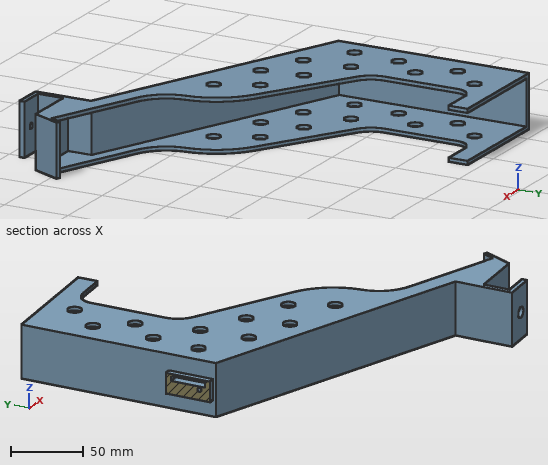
import cadquery as cq
import math

height = 41.0
plate_thickness = 3.0
wall_thickness = 4.0

column_top = 150.0
column_width = 54.6
arm_length = 90.0
arm_width = 15.0
arm_fillet = 12.0

leg_slope = math.radians(24.0)
foot_x = 198.0
inner_slope = math.radians(32.45)
inner_corner_y = 54.6
inner_corner_fillet = 20.0
bulge_x = 154.8
bulge_radius = 53.0
neck_x = 158.9
neck_width = 14.0
neck_radius = 33.0

foot_length = 24.0
foot_bottom = -131.72
ledge_y = -108.0
ledge_end_x = 242.13
tab_length = 23.8
tab_thickness = 3.0

screw_x = 211.9
screw_diameter = 4.0
countersink_diameter = 8.0
countersink_angle = 53.0

lug_depth = 13.0
lug_width = 34.0
lug_height = 16.0
lug_y = 19.3
slot_width = 25.6
slot_height = 3.2
slot_z = 4.3
pilot_diameter = 2.55
pilot_offset_y = -8.8

lightening_diameter = 10.0
lightening_centres = [
    (39.1, 128.0), (19.9, 104.5), (36.4, 80.0), (20.0, 58.0), (46.4, 34.7), (17.7, 22.0),
    (78.2, 14.7), (49.3, -1.4), (111.8, -1.4), (83.1, -16.6), (125.7, -30.7),
]


def leg_y(x, inset=0.0):
    """Y of the sloping outer edge at x, moved inward by the inset."""
    return -x * math.tan(leg_slope) + inset / math.cos(leg_slope)


def along_tab(distance, inset=0.0):
    """Point on the end tab, which stands square to the leg and rises from the ledge end."""
    x = ledge_end_x + distance * math.sin(leg_slope) - inset * math.cos(leg_slope)
    y = ledge_y + distance * math.cos(leg_slope) + inset * math.sin(leg_slope)
    return (x, y)


def toward(start, end, distance):
    """Point at the given distance from start in the direction of end."""
    length = math.dist(start, end)
    return tuple(a + (b - a) * distance / length for a, b in zip(start, end))


def rounded_polygon(corners):
    """Closed outline from (point, radius) corners, starting at a sharp one; zero radius is sharp."""
    outline = cq.Workplane("XY").workplane(offset=-height / 2).moveTo(*corners[0][0])
    for index in range(1, len(corners)):
        corner, radius = corners[index]
        if radius == 0:
            outline = outline.lineTo(*corner)
            continue
        before = corners[index - 1][0]
        after = corners[(index + 1) % len(corners)][0]
        angle_in = math.atan2(before[1] - corner[1], before[0] - corner[0])
        angle_out = math.atan2(after[1] - corner[1], after[0] - corner[0])
        half_angle = abs(math.remainder(angle_out - angle_in, 2 * math.pi)) / 2
        setback = radius / math.tan(half_angle)
        arc_start = toward(corner, before, setback)
        arc_end = toward(corner, after, setback)
        chord_middle = tuple((a + b) / 2 for a, b in zip(arc_start, arc_end))
        arc_middle = toward(corner, chord_middle, radius / math.sin(half_angle) - radius)
        outline = outline.lineTo(*arc_start).threePointArc(arc_middle, arc_end)
    return outline.close()


def full_height(points):
    """Prism over the whole height of the part from straight-sided outline points."""
    return cq.Workplane("XY").workplane(offset=-height / 2).polyline(points).close().extrude(height)


def make_plates():
    """Top and bottom plates, with the lightening holes through both."""
    bulge_corner_y = inner_corner_y - (bulge_x - column_width) * math.tan(inner_slope)
    tab_foot_x, tab_foot_y = along_tab(0.0, tab_thickness)
    rise_to_neck = (leg_y(tab_foot_x, neck_width) - tab_foot_y) * math.cos(leg_slope)
    neck_end = along_tab(rise_to_neck, tab_thickness)
    corners = [
        ((0, 0), 0),
        ((foot_x, leg_y(foot_x)), 0),
        ((foot_x, ledge_y), 0),
        ((ledge_end_x, ledge_y), 0),
        (neck_end, 0),
        ((neck_x, leg_y(neck_x, neck_width)), neck_radius),
        ((bulge_x, bulge_corner_y), bulge_radius),
        ((column_width, inner_corner_y), inner_corner_fillet),
        ((column_width, column_top - arm_width), arm_fillet),
        ((arm_length, column_top - arm_width), 0),
        ((arm_length, column_top), 0),
        ((0, column_top), 0),
    ]
    bottom = rounded_polygon(corners).extrude(plate_thickness)
    top = bottom.translate((0, 0, height - plate_thickness))
    holes = (
        cq.Workplane("XY").workplane(offset=-height / 2)
        .pushPoints(lightening_centres).circle(lightening_diameter / 2).extrude(height)
    )
    return bottom.union(top).cut(holes)


def make_outer_wall():
    """Wall along the straight side, down the sloping leg and on to the bottom of the foot."""
    inner_foot_x = foot_x + wall_thickness
    return full_height([
        (0, column_top),
        (0, 0),
        (foot_x, leg_y(foot_x)),
        (foot_x, foot_bottom),
        (inner_foot_x, foot_bottom),
        (inner_foot_x, leg_y(inner_foot_x, wall_thickness)),
        (wall_thickness, leg_y(wall_thickness, wall_thickness)),
        (wall_thickness, column_top),
    ])


def make_ledge_and_tab():
    """Wall over the foot opening and the sloping tab that closes the end of the leg."""
    ledge_top = ledge_y + wall_thickness
    ledge = full_height([
        (foot_x, ledge_y),
        (ledge_end_x, ledge_y),
        along_tab(wall_thickness / math.cos(leg_slope)),
        (foot_x, ledge_top),
    ])
    tab = full_height([
        along_tab(0.0),
        along_tab(tab_length),
        along_tab(tab_length, tab_thickness),
        along_tab(-tab_thickness * math.tan(leg_slope), tab_thickness),
    ])
    return ledge.union(tab)


def make_foot():
    """Turned-in plate at the bottom of the foot with a countersunk screw hole."""
    foot = full_height([
        (foot_x, foot_bottom),
        (foot_x + foot_length, foot_bottom),
        (foot_x + foot_length, foot_bottom + wall_thickness),
        (foot_x, foot_bottom + wall_thickness),
    ])
    return (
        foot.faces("<Y").workplane(origin=(screw_x, foot_bottom, 0))
        .cskHole(screw_diameter, countersink_diameter, countersink_angle)
    )


def add_lug(body):
    """Add the side lug, its slot into the hollow body and the pilot hole beside the slot."""
    lug = cq.Workplane("XY").box(
        lug_depth, lug_width, lug_height, centered=(False, True, True)
    ).translate((-lug_depth, lug_y, 0))
    passage = lug_depth + wall_thickness
    slot = cq.Workplane("XY").box(
        passage, slot_width, slot_height, centered=(False, True, True)
    ).translate((-lug_depth, lug_y, slot_z))
    pilot = (
        cq.Workplane("YZ", origin=(-lug_depth, lug_y + pilot_offset_y, 0))
        .circle(pilot_diameter / 2).extrude(lug_depth)
    )
    return body.union(lug).cut(slot).cut(pilot)


channel = make_plates().union(make_outer_wall()).union(make_ledge_and_tab()).union(make_foot())
result = add_lug(channel)